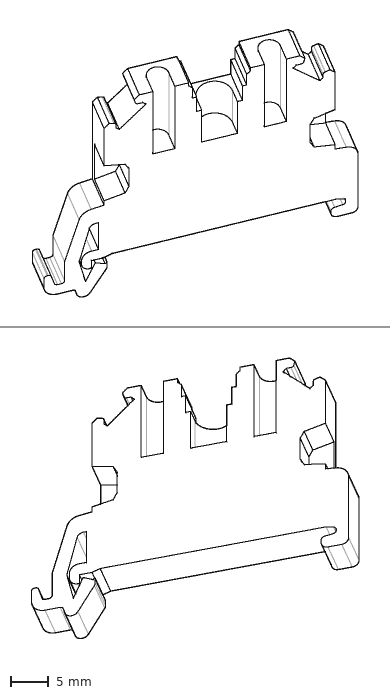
import cadquery as cq
import math


thickness = 5.0
top_z = 37.35
foot_y = 19.42
clip_y = -24.60

head_half = 16.2
valley_half = 3.2
valley_floor_z = 31.3
ledge_half = 3.8
ledge_z = 34.15
mouth_half = 4.33
mouth_chamfer = mouth_half - ledge_half
mouth_chamfer_z = 36.75
lip_chamfer = 0.72
top_half = 11.25
lip_z = 35.66
lip_corner_y = 11.72
lip_root_y = 10.77
lip_round = 0.4
groove_depth = 0.45

shoulder_z = 17.2
shoulder_slope = math.radians(7)
foot_shoulder_round = 1.9
window_top_z = 13.97
window_bottom_z = 8.69
window_start_y = -16.97
seat_z = 7.2
seat_foot_end_y = 16.3
seat_clip_end_y = -15.05
foot_bottom_z = 3.7
foot_tip_y = 15.6
foot_tip_z = 5.6
foot_round = 0.95
foot_tip_round = 0.6
catch_y = 17.68
catch_top_z = 6.85
catch_bottom_z = 5.85
catch_round = 0.48

nose_y = -19.33
nose_inner_y = -17.94
nose_bottom_z = 5.3
nose_roof_z = 6.79
nose_roof_y = -16.18
nose_top_round = 1.4
nose_tip_round = 1.2

arm_lean = math.radians(15)
arm_knee_z = 7.9
arm_outer_y = -21.72
arm_shoulder_round = 2.0
arm_inner_top_y = -18.08
arm_inner_round = 0.9
arm_inner_knee = (-19.68, 7.15)
vee_bottom = (-18.77, 2.95)
latch_tip = (-17.42, 6.2)
latch_dip = (-16.05, 5.53)
latch_back = (-15.75, 5.75)
latch_heel = (-15.75, 4.65)
latch_heel_round = 0.8
clip_point = (-19.43, -1.74)
clip_point_round = 1.025
lever_bottom_z = 1.8
lever_root = (-20.25, lever_bottom_z)
lever_root_round = 0.45
lever_outer_round = 1.9
lever_top_z = 5.94
lever_tip_y = -23.68
lever_tip_round = 0.45
lever_gap_z = 3.68
lever_gap_y = -23.05
lever_gap_round = 0.45

recess_depth = 1.0
recess_end_y = 17.95
recess_round = 0.45

well_floor_z = 25.0
screw_y = 7.82
screw_width = 3.08
screw_wall = 0.9
bridge_width = 5.0
bridge_wall = 0.45

funnel_wall = 0.9
funnel_mouth_floor_z = 18.05
funnel_mouth_ceiling_z = 25.0
funnel_step_floor_z = 18.6
funnel_step_ceiling_z = 24.28
funnel_back_floor_z = 19.69
funnel_back_ceiling_z = 23.23
funnel_step_depth = 2.95
funnel_depth = 3.5


def rounded_outline(corners):
    """Closed YZ wire through (y, z, radius) corners, each rounded by a tangent arc."""
    spans = []
    count = len(corners)
    for index, (y, z, radius) in enumerate(corners):
        corner = cq.Vector(y, z)
        if radius == 0:
            spans.append((corner, None, corner))
            continue
        before = cq.Vector(*corners[index - 1][:2])
        after = cq.Vector(*corners[(index + 1) % count][:2])
        to_before = (before - corner).normalized()
        to_after = (after - corner).normalized()
        half_angle = to_before.getAngle(to_after) / 2
        setback = radius / math.tan(half_angle)
        bulge = radius / math.sin(half_angle) - radius
        middle = corner + (to_before + to_after).normalized() * bulge
        spans.append((corner + to_before * setback, middle, corner + to_after * setback))

    wire = cq.Workplane("YZ").moveTo(*spans[0][2].toTuple()[:2])
    for start, middle, end in spans[1:] + spans[:1]:
        wire = wire.lineTo(*start.toTuple()[:2])
        if middle is not None:
            wire = wire.threePointArc(middle.toTuple()[:2], end.toTuple()[:2])
    return wire.close()


def head_half_corners():
    """Head corners on +Y, from the valley floor outwards to the foot of the head side."""
    upper_lip = [
        (top_half, top_z, 0),
        (top_half + lip_chamfer, top_z - lip_chamfer, 0),
        (lip_corner_y, lip_z, lip_round),
        (lip_root_y, lip_z, 0),
        (lip_root_y - groove_depth, lip_z - groove_depth, 0),
    ]
    mirror_offset = top_z - head_half
    lower_lip = [(z - mirror_offset, y + mirror_offset, r) for y, z, r in reversed(upper_lip)]
    valley = [
        (valley_half, valley_floor_z, 0),
        (valley_half, ledge_z, 0),
        (ledge_half, ledge_z, 0),
        (ledge_half, mouth_chamfer_z - mouth_chamfer, 0),
        (mouth_half, mouth_chamfer_z, 0),
        (mouth_half, top_z, 0),
    ]
    return valley + upper_lip + lower_lip + [(head_half, shoulder_z, 0)]


def foot_corners():
    """Fixed foot, from its shoulder down and around to the rail seat."""
    shoulder_drop = (foot_y - head_half) * math.tan(shoulder_slope)
    return [
        (foot_y, shoulder_z - shoulder_drop, foot_shoulder_round),
        (foot_y, foot_bottom_z, foot_round),
        (foot_tip_y, foot_bottom_z, foot_round),
        (foot_tip_y, foot_tip_z, foot_tip_round),
        (catch_y, catch_bottom_z, catch_round),
        (catch_y, catch_top_z, catch_round),
        (seat_foot_end_y, seat_z, 0),
    ]


def nose_corners():
    """Clip end of the rail seat, around the nose and into the window."""
    return [
        (seat_clip_end_y, seat_z, 0),
        (nose_roof_y, nose_roof_z, 0),
        (nose_inner_y, nose_roof_z, 0),
        (nose_inner_y, nose_bottom_z, 0),
        (nose_y, nose_bottom_z, nose_tip_round),
        (nose_y, window_bottom_z, nose_top_round),
        (window_start_y, window_bottom_z, 0),
        (window_start_y, window_top_z, 0),
    ]


def clip_corners():
    """Spring arm, latch and release lever, from the window round to the arm's shoulder."""
    slope = math.tan(shoulder_slope)
    lean = math.tan(arm_lean)
    knee_drop = shoulder_z - arm_knee_z + slope * (arm_outer_y + head_half)
    rise = knee_drop / (1 - slope * lean)
    shoulder = (arm_outer_y + rise * lean, arm_knee_z + rise)
    return [
        (arm_inner_top_y, window_top_z, arm_inner_round),
        (*arm_inner_knee, 0),
        (*vee_bottom, 0),
        (*latch_tip, 0),
        (*latch_dip, 0),
        (*latch_back, 0),
        (*latch_heel, latch_heel_round),
        (*clip_point, clip_point_round),
        (*lever_root, lever_root_round),
        (clip_y, lever_bottom_z, lever_outer_round),
        (clip_y, lever_top_z, lever_tip_round),
        (lever_tip_y, lever_top_z, lever_tip_round),
        (lever_gap_y, lever_gap_z, lever_gap_round),
        (arm_outer_y, lever_gap_z, lever_gap_round),
        (arm_outer_y, arm_knee_z, 0),
        (*shoulder, arm_shoulder_round),
    ]


def profile():
    head_foot_side = head_half_corners()
    head_clip_side = [(-y, z, r) for y, z, r in reversed(head_foot_side)]
    corners = head_foot_side + foot_corners() + nose_corners() + clip_corners() + head_clip_side
    return rounded_outline(corners).extrude(thickness)


def label_recess():
    corners = [
        (window_start_y, window_bottom_z, 0),
        (recess_end_y, window_bottom_z, recess_round),
        (recess_end_y, window_top_z, recess_round),
        (window_start_y, window_top_z, 0),
    ]
    return rounded_outline(corners).extrude(recess_depth)


def well(center_y, width, wall):
    """Round-ended vertical well leaving a wall on -X and running out through +X."""
    radius = width / 2
    round_x = wall + radius
    return (
        cq.Workplane("XY", origin=(0, center_y, well_floor_z))
        .moveTo(thickness, -radius)
        .lineTo(round_x, -radius)
        .threePointArc((wall, 0), (round_x, radius))
        .lineTo(thickness, radius)
        .close()
        .extrude(top_z - well_floor_z)
    )


def wire_funnel(side):
    """Tapered wire entry in the head end on the given side (+1 or -1 along Y)."""
    mouth_y = side * head_half
    step_y = side * (head_half - funnel_step_depth)
    back_y = side * (head_half - funnel_depth)
    section = [
        (mouth_y, funnel_mouth_floor_z),
        (step_y, funnel_step_floor_z),
        (back_y, funnel_back_floor_z),
        (back_y, funnel_back_ceiling_z),
        (step_y, funnel_step_ceiling_z),
        (mouth_y, funnel_mouth_ceiling_z),
    ]
    return (
        cq.Workplane("YZ", origin=(funnel_wall, 0, 0))
        .polyline(section)
        .close()
        .extrude(thickness - funnel_wall)
    )


result = profile().cut(label_recess()).cut(well(0, bridge_width, bridge_wall))
for side in (1, -1):
    result = result.cut(well(side * screw_y, screw_width, screw_wall))
    result = result.cut(wire_funnel(side))